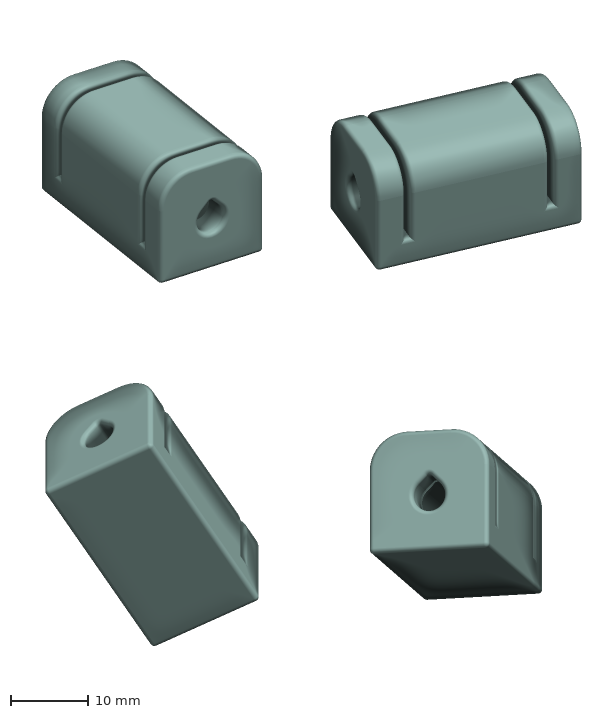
import cadquery as cq

length = 29.0
width = 16.0
height = 16.0
shoulder_radius = 5.0
edge_radius = 0.6

end_to_slot = 4.0
slot_width = 0.8
slot_floor = 4.0
slot_center = length / 2 - end_to_slot - slot_width / 2

bore_radius = 2.1
bore_tip_radius = 0.5
bore_height = 7.4


def block():
    """Block with its two upper lengthwise edges rounded."""
    blank = cq.Workplane("XY").box(length, width, height, centered=(True, True, False))
    return blank.edges("|X and >Z").fillet(shoulder_radius)


def slot(x):
    """Cutter for one slot across the full width."""
    depth = height - slot_floor
    return (
        cq.Workplane("XY", origin=(x, 0, slot_floor))
        .box(slot_width, width, depth, centered=(True, True, False))
    )


def teardrop_bore():
    """Circle with 45 degree tangents that meet at a rounded tip above it."""
    half_diagonal = 0.5 ** 0.5
    tangent = bore_radius * half_diagonal
    apex = bore_radius / half_diagonal
    profile = (
        cq.Workplane("YZ", origin=(-length / 2, 0, bore_height))
        .moveTo(-tangent, tangent)
        .threePointArc((0, -bore_radius), (tangent, tangent))
        .lineTo(0, apex)
        .close()
    )
    tip = cq.selectors.NearestToPointSelector((0, 0, bore_height + apex))
    return profile.extrude(length).edges(tip).fillet(bore_tip_radius)


slotted = block()
for slot_x in (-slot_center, slot_center):
    slotted = slotted.cut(slot(slot_x))

end_edges = slotted.faces("<X or >X").edges()
lower_edges = slotted.faces("<Z").edges("|X")
mouth_edges = slotted.faces("|X").faces("not(<X or >X)").edges("not(|Y and (not >Z))")
floor_edges = slotted.faces("<Y or >Y").edges("|X and (not <Z)").edges("<Z")
rounded = end_edges.add(lower_edges).add(mouth_edges).add(floor_edges).fillet(edge_radius)

bored = rounded.cut(teardrop_bore())
bore_zone = cq.selectors.BoxSelector(
    (-length, -2 * bore_radius, bore_height - 2 * bore_radius),
    (length, 2 * bore_radius, bore_height + 2 * bore_radius),
)
result = bored.faces("<X or >X").edges(bore_zone).fillet(edge_radius)